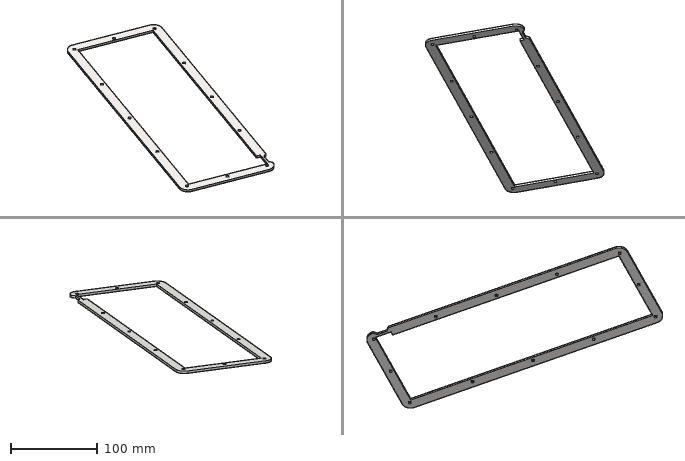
import cadquery as cq

length = 329.0
width = 119.5
thickness = 3.0
corner_radius = 11.0

side_rail = 11.5
long_rail = 12.0
window_x = length / 2 - side_rail
window_y = width / 2 - long_rail

bridge_start_x = 133.2
notch_depth = 4.0
bridge_thickness = 3.0
bridge_outer_y = width / 2 - notch_depth
bridge_inner_y = bridge_outer_y - bridge_thickness

hole_diameter = 3.3
corner_hole_x = 155.5
corner_hole_y = 51.0
rail_hole_pitch = 76.5
rail_hole_y = 52.3
side_hole_x = 157.0


def make_frame():
    """Rounded plate with a sharp-cornered window."""
    plate = cq.Workplane("XY").box(length, width, thickness).edges("|Z").fillet(corner_radius)
    window = cq.Workplane("XY").box(2 * window_x, 2 * window_y, thickness)
    return plate.cut(window)


def make_outer_notch():
    """Notch with 45 degree ends in the outer edge, above the bridge."""
    return (
        cq.Workplane("XY")
        .moveTo(bridge_start_x, width / 2)
        .lineTo(bridge_start_x + notch_depth, bridge_outer_y)
        .lineTo(window_x - notch_depth, bridge_outer_y)
        .lineTo(window_x, width / 2)
        .close()
        .extrude(thickness / 2, both=True)
    )


def make_inner_relief():
    """Extension of the window up to the inner edge of the bridge."""
    return (
        cq.Workplane("XY")
        .moveTo(bridge_start_x, 0)
        .lineTo(bridge_start_x, bridge_inner_y)
        .lineTo(window_x, bridge_inner_y)
        .lineTo(window_x, 0)
        .close()
        .extrude(thickness / 2, both=True)
    )


def make_holes():
    """Through holes at the corners, along the long rails and mid-way up the sides."""
    points = []
    for side in (-1, 1):
        points.append((side * side_hole_x, 0))
        for end in (-1, 1):
            points.append((end * corner_hole_x, side * corner_hole_y))
        for step in (-1, 0, 1):
            points.append((step * rail_hole_pitch, side * rail_hole_y))
    return (
        cq.Workplane("XY")
        .pushPoints(points)
        .circle(hole_diameter / 2)
        .extrude(thickness / 2, both=True)
    )


result = make_frame().cut(make_outer_notch()).cut(make_inner_relief()).cut(make_holes())